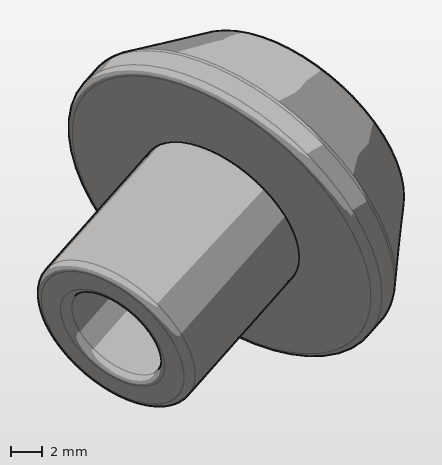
import cadquery as cq
import math

head_diameter = 24.0
stem_diameter = head_diameter / 2
bore_diameter = 7.0
stem_length = 12.0
head_length = 8.0
rim_length = 2.0
cone_half_angle = 30.0
edge_radius = 0.5

head_radius = head_diameter / 2
stem_radius = stem_diameter / 2
bore_radius = bore_diameter / 2
cone_length = head_length - rim_length
cone_end_radius = head_radius - cone_length * math.tan(math.radians(cone_half_angle))


def turned_body():
    """Hollow stem towards -Y, cylindrical rim and tapered head towards +Y."""
    half_section = [
        (bore_radius, -stem_length),
        (stem_radius, -stem_length),
        (stem_radius, 0),
        (head_radius, 0),
        (head_radius, rim_length),
        (cone_end_radius, head_length),
        (bore_radius, head_length),
    ]
    profile = cq.Workplane("XY").polyline(half_section).close()
    return profile.revolve(360, (0, 0, 0), (0, 1, 0))


def round_edges(body):
    """Round every outside edge and both bore mouths; the stem root stays sharp."""
    stem_end_edges = body.faces("<Y").edges()
    head_end_edges = body.faces(">Y").edges()
    rim_edges = body.edges(cq.selectors.RadiusNthSelector(-1))
    return stem_end_edges.add(head_end_edges).add(rim_edges).fillet(edge_radius)


result = round_edges(turned_body())